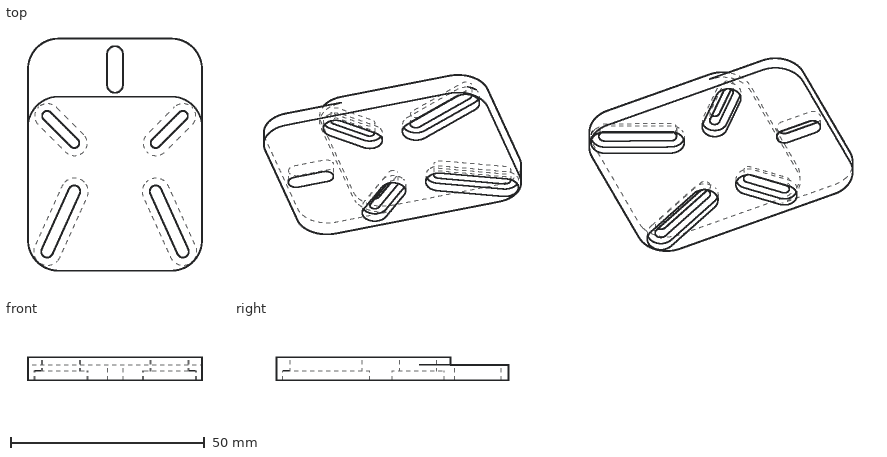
import cadquery as cq
import math

width = 45.0
length = 60.0
thickness = 6.0
base_thickness = thickness * 2 / 3
raised_length = width
corner_radius = 8.0

front_y = -raised_length / 2
base_center_y = front_y + length / 2

mount_slot_width = 4.0
mount_slot_near_y = 25.5
mount_slot_far_y = 33.5

slot_inner_x = 10.5
slot_outer_x = 17.5
back_slot_inner_y = slot_inner_x
back_slot_outer_y = slot_outer_x
back_slot_width = 2.5
front_slot_inner_y = -2.0
front_slot_outer_y = -slot_outer_x
front_slot_width = 3.0

back_head_width = 6.5
front_head_width = 7.0
head_depth = 2.5


def rounded_plate(plate_length, center_y, height):
    """Plate of full width with rounded vertical corners, standing on Z = 0."""
    return (
        cq.Workplane("XY")
        .center(0, center_y)
        .rect(width, plate_length)
        .extrude(height)
        .edges("|Z")
        .fillet(corner_radius)
    )


def slot_cutter(start, end, slot_width, height):
    """Round-ended slot between two end centres, rising from Z = 0."""
    dx = end[0] - start[0]
    dy = end[1] - start[1]
    return (
        cq.Workplane("XY")
        .center((start[0] + end[0]) / 2, (start[1] + end[1]) / 2)
        .slot2D(math.hypot(dx, dy) + slot_width, slot_width, math.degrees(math.atan2(dy, dx)))
        .extrude(height)
    )


def screw_slot_cutter(start, end, slot_width, head_width):
    """Through slot with a wider screw-head slot in the underside."""
    through_slot = slot_cutter(start, end, slot_width, thickness)
    head_slot = slot_cutter(start, end, head_width, head_depth)
    return through_slot.union(head_slot)


base = rounded_plate(length, base_center_y, base_thickness)
raised_square = rounded_plate(raised_length, 0, thickness)
body = base.union(raised_square)

body = body.cut(slot_cutter((0, mount_slot_near_y), (0, mount_slot_far_y), mount_slot_width, base_thickness))

for side in (-1, 1):
    inner_x = side * slot_inner_x
    outer_x = side * slot_outer_x
    body = body.cut(
        screw_slot_cutter(
            (inner_x, back_slot_inner_y), (outer_x, back_slot_outer_y), back_slot_width, back_head_width
        )
    )
    body = body.cut(
        screw_slot_cutter(
            (inner_x, front_slot_inner_y), (outer_x, front_slot_outer_y), front_slot_width, front_head_width
        )
    )

result = body